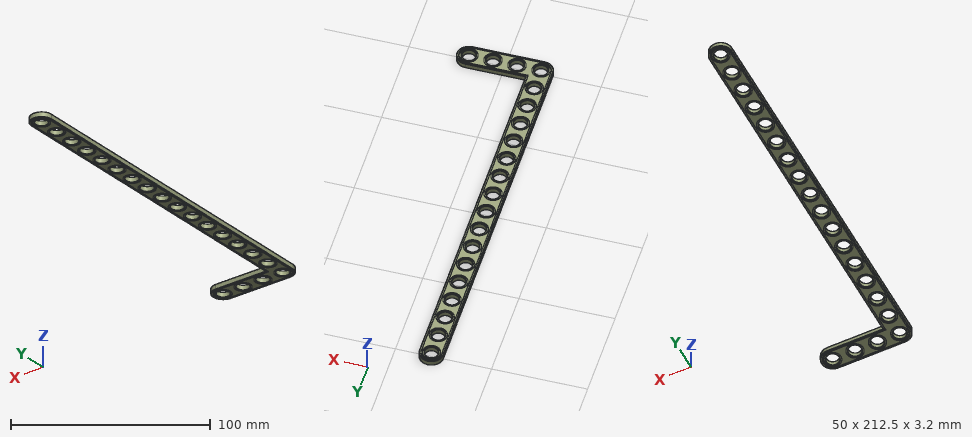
import cadquery as cq

long_arm_length = 212.5
long_arm_holes = 17
short_arm_holes = 4
thickness = 3.2
hole_diameter = 7.0
rim_width = 1.0
web_recess = 0.25
edge_chamfer = 0.32

pitch = long_arm_length / long_arm_holes
arm_width = pitch
long_span = (long_arm_holes - 1) * pitch
short_span = (short_arm_holes - 1) * pitch
hole_rim_diameter = hole_diameter + 2 * rim_width

hole_centres = [(0, row * pitch) for row in range(long_arm_holes)]
hole_centres += [(column * pitch, 0) for column in range(1, short_arm_holes)]


def arm(span, width, height):
    """Bar with round ends along +X, its first end centred on the origin."""
    return (
        cq.Workplane("XY")
        .center(span / 2, 0)
        .slot2D(span + width, width)
        .extrude(height)
    )


def l_shape(width, height):
    """L-shaped slab with its corner centred on the origin."""
    long_arm = arm(long_span, width, height).rotate((0, 0, 0), (0, 0, 1), 90)
    short_arm = arm(short_span, width, height)
    return long_arm.union(short_arm).clean()


def discs(diameter, height):
    """One cylinder at every hole centre."""
    return cq.Workplane("XY").pushPoints(hole_centres).circle(diameter / 2).extrude(height)


def drilled_plate():
    """L-shaped plate with all holes, every top and bottom edge bevelled."""
    plate = l_shape(arm_width, thickness).cut(discs(hole_diameter, thickness))
    return plate.faces("<Z or >Z").edges().chamfer(edge_chamfer)


def web_pocket():
    """Shallow recess inside the outline rim that leaves the hole rims standing."""
    pocket = l_shape(arm_width - 2 * rim_width, web_recess)
    return pocket.cut(discs(hole_rim_diameter, web_recess))


bottom_pocket = web_pocket()
top_pocket = bottom_pocket.translate((0, 0, thickness - web_recess))
result = drilled_plate().cut(bottom_pocket).cut(top_pocket)